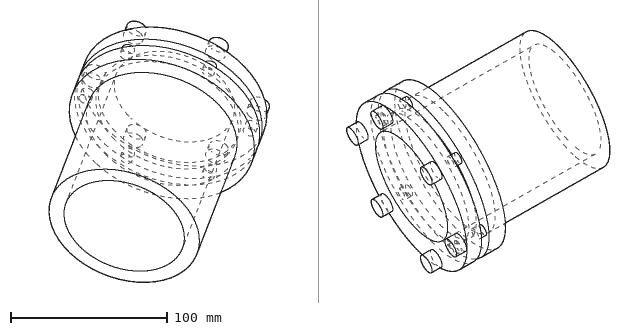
import cadquery as cq
import math

overall_length = 128.0
head_height = 7.8
backing_thickness = 11.4
gap_width = 5.9
flange_thickness = 12.9

flange_diameter = 123.0
pipe_diameter = 100.0
bore_diameter = 80.0
spacer_diameter = 94.7

bolt_count = 6
bolt_circle_diameter = 109.0
head_diameter = 13.0
shank_diameter = 8.0

backing_back = overall_length - head_height
backing_front = backing_back - backing_thickness
flange_back = backing_front - gap_width
flange_front = flange_back - flange_thickness


def cylinder(diameter, start, end, x=0, z=0):
    """Solid cylinder along Y between two stations, centred at (x, z)."""
    base = cq.Vector(x, start, z)
    axis = cq.Vector(0, 1, 0)
    return cq.Workplane(cq.Solid.makeCylinder(diameter / 2, end - start, base, axis))


def bolt(angle):
    """Round-headed bolt whose shank ends flush with the pipe flange."""
    x = bolt_circle_diameter / 2 * math.cos(angle)
    z = bolt_circle_diameter / 2 * math.sin(angle)
    head = cylinder(head_diameter, backing_back, overall_length, x, z)
    shank = cylinder(shank_diameter, flange_front, backing_back, x, z)
    return head.union(shank)


body = cylinder(pipe_diameter, 0, flange_back)
body = body.union(cylinder(flange_diameter, flange_front, flange_back))
body = body.union(cylinder(spacer_diameter, flange_back, backing_front))
body = body.union(cylinder(flange_diameter, backing_front, backing_back))

for index in range(bolt_count):
    body = body.union(bolt(2 * math.pi * index / bolt_count))

result = body.cut(cylinder(bore_diameter, 0, overall_length))